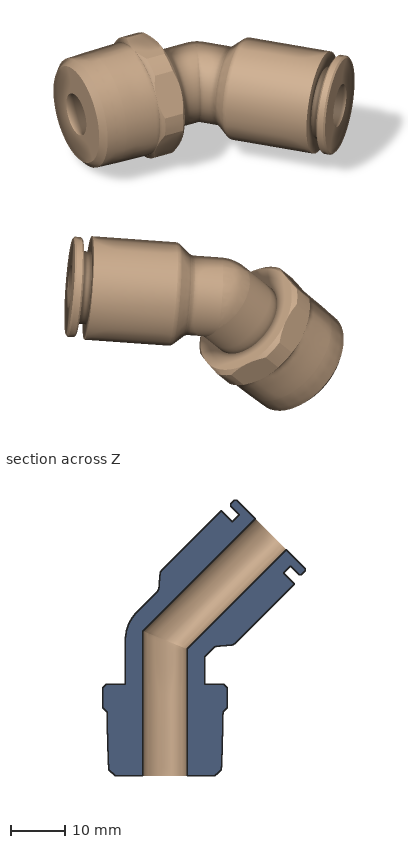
import cadquery as cq
import math

overall_length = 50.7
bend_angle = 45
bore_diameter = 8.0

thread_tip_radius = 9.2
thread_start_radius = 10.4
thread_gauge_radius = 10.55
thread_end_radius = 10.7
tip_chamfer_length = 1.1
thread_gauge_y = 4.95
thread_length = 11.75

hex_across_flats = 21.5
hex_corner_diameter = 23.0
hex_length = 5.1
hex_chamfer_length = 0.7

neck_diameter = 14.65
neck_radius = neck_diameter / 2

cone_start = 5.65
socket_start = 8.2
socket_end = 24.15
socket_radius = 9.55
cone_fillet_radius = 1.1

collar_end = 27.55
flange_thickness = 1.65
flange_radius = 9.25
flange_chamfer = 0.3
collar_radius = 6.7

hex_top_y = thread_length + hex_length

flange_rim_reach = (
    (collar_end - flange_chamfer) * math.cos(math.radians(bend_angle))
    + flange_radius * math.sin(math.radians(bend_angle))
)
elbow_y = overall_length - flange_rim_reach


def revolve_about_y(profile):
    """Revolve (radius, y) points, closed along the Y axis."""
    axis_start = (0, profile[0][1])
    axis_end = (0, profile[-1][1])
    outline = [axis_start] + profile + [axis_end]
    return cq.Workplane("XY").polyline(outline).close().revolve(360, (0, 0, 0), (0, 1, 0))


def turn_to_socket(body):
    """Tilt a body from the Y axis to the socket axis and move it to the elbow."""
    return body.rotate((0, 0, 0), (0, 0, 1), -bend_angle).translate((0, elbow_y, 0))


def make_thread():
    return revolve_about_y([
        (thread_tip_radius, 0),
        (thread_start_radius, tip_chamfer_length),
        (thread_gauge_radius, thread_gauge_y),
        (thread_end_radius, thread_length),
    ])


def make_hexagon():
    corner_to_corner = hex_across_flats / math.cos(math.radians(30))
    prism = (
        cq.Workplane("XZ", origin=(0, hex_top_y, 0))
        .polygon(6, corner_to_corner)
        .extrude(hex_length)
    )
    flat_radius = hex_across_flats / 2
    corner_radius = hex_corner_diameter / 2
    blank = revolve_about_y([
        (flat_radius, thread_length),
        (corner_radius, thread_length + hex_chamfer_length),
        (corner_radius, hex_top_y - hex_chamfer_length),
        (flat_radius, hex_top_y),
    ])
    return prism.intersect(blank)


def make_bend_wedge():
    """Spherical wedge that fills the outside of the bend between the two necks."""
    return (
        cq.Workplane("XZ", origin=(0, elbow_y, 0))
        .moveTo(0, -neck_radius)
        .threePointArc((-neck_radius, 0), (0, neck_radius))
        .close()
        .revolve(bend_angle, (0, 0, 0), (0, -1, 0))
    )


def make_neck():
    return revolve_about_y([(neck_radius, thread_length), (neck_radius, elbow_y)])


def make_socket():
    flange_start = collar_end - flange_thickness
    flange_face_radius = flange_radius - flange_chamfer
    socket = revolve_about_y([
        (neck_radius, 0),
        (neck_radius, cone_start),
        (socket_radius, socket_start),
        (socket_radius, socket_end),
        (collar_radius, socket_end),
        (collar_radius, flange_start),
        (flange_face_radius, flange_start),
        (flange_radius, flange_start + flange_chamfer),
        (flange_radius, collar_end - flange_chamfer),
        (flange_face_radius, collar_end),
    ])
    cone_lower = (-socket_radius, cone_start - cone_fillet_radius, -socket_radius)
    cone_upper = (socket_radius, socket_start + cone_fillet_radius, socket_radius)
    cone_rims = cq.selectors.BoxSelector(cone_lower, cone_upper)
    socket = socket.edges("%CIRCLE").edges(cone_rims).fillet(cone_fillet_radius)
    return turn_to_socket(socket)


def make_bore():
    """Round bore through both legs, meeting in a mitre at the elbow centre."""
    angle = math.radians(bend_angle)
    bore_exit = (collar_end * math.sin(angle), elbow_y + collar_end * math.cos(angle))
    path = cq.Workplane("XY").polyline([(0, 0), (0, elbow_y), bore_exit])
    return cq.Workplane("XZ").circle(bore_diameter / 2).sweep(path, transition="right")


result = (
    make_neck()
    .union(make_socket())
    .union(make_bend_wedge())
    .union(make_hexagon())
    .union(make_thread())
    .cut(make_bore())
)